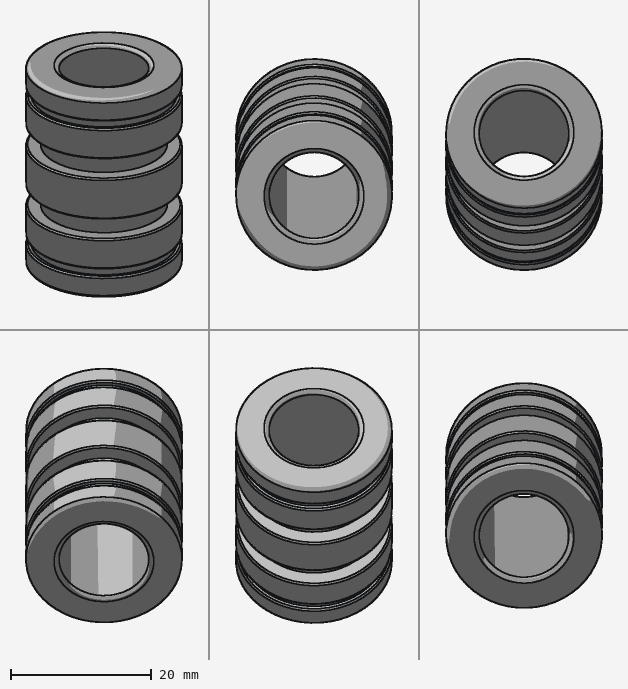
import cadquery as cq
import math

length = 31.55
outer_radius = 11.1
half_length = length / 2

end_round_width = 0.7
end_round_height = 0.47

ring_groove_radius = 10.4
ring_groove_start = 3.45
ring_groove_width = 1.17
wide_groove_radius = 9.03
center_land_half = 3.25
wide_groove_width = 3.1
land_chamfer = 0.25

liner_outer_radius = 7.1
bore_radius = 6.38
mouth_round_width = 0.65


def groove_cutter(floor_radius, width, lower_z):
    """Groove whose mouth is widened by a chamfer on both neighbouring lands."""
    upper_z = lower_z + width
    chamfer_floor = outer_radius - land_chamfer
    profile = [
        (floor_radius, lower_z),
        (chamfer_floor, lower_z),
        (outer_radius, lower_z - land_chamfer),
        (outer_radius, upper_z + land_chamfer),
        (chamfer_floor, upper_z),
        (floor_radius, upper_z),
    ]
    return cq.Workplane("XZ").polyline(profile).close().revolve(360, (0, 0, 0), (0, 1, 0))


def rounded_tube(plain_radius, rounded_radius, round_width):
    """Full-length tube with both end edges rounded on the wall at rounded_radius.

    The rounded wall may be the inner or the outer one.
    """
    arc_radius = (round_width**2 + end_round_height**2) / (2 * end_round_height)
    half_sweep = math.atan2(end_round_height, round_width)
    toward_plain = math.copysign(1, plain_radius - rounded_radius)
    flat_radius = rounded_radius + toward_plain * round_width
    arc_mid_radius = flat_radius - toward_plain * arc_radius * math.sin(half_sweep)
    arc_mid_z = half_length - arc_radius * (1 - math.cos(half_sweep))
    side_top = half_length - end_round_height
    return (
        cq.Workplane("XZ")
        .moveTo(plain_radius, -half_length)
        .lineTo(flat_radius, -half_length)
        .threePointArc((arc_mid_radius, -arc_mid_z), (rounded_radius, -side_top))
        .lineTo(rounded_radius, side_top)
        .threePointArc((arc_mid_radius, arc_mid_z), (flat_radius, half_length))
        .lineTo(plain_radius, half_length)
        .close()
        .revolve(360, (0, 0, 0), (0, 1, 0))
    )


def make_bushing():
    """Outer body with two ring grooves and two wide grooves, symmetric about Z = 0."""
    body = rounded_tube(liner_outer_radius, outer_radius, end_round_width)
    grooves = [
        (ring_groove_radius, ring_groove_width, half_length - ring_groove_start - ring_groove_width),
        (wide_groove_radius, wide_groove_width, center_land_half),
    ]
    for floor_radius, width, lower_z in grooves:
        body = body.cut(groove_cutter(floor_radius, width, lower_z))
        body = body.cut(groove_cutter(floor_radius, width, -lower_z - width))
    return body


def make_liner():
    """Thin sleeve with rounded bore mouths."""
    return rounded_tube(liner_outer_radius, bore_radius, mouth_round_width)


bushing = make_bushing()
liner = make_liner()

result = cq.Compound.makeCompound([bushing.val(), liner.val()])